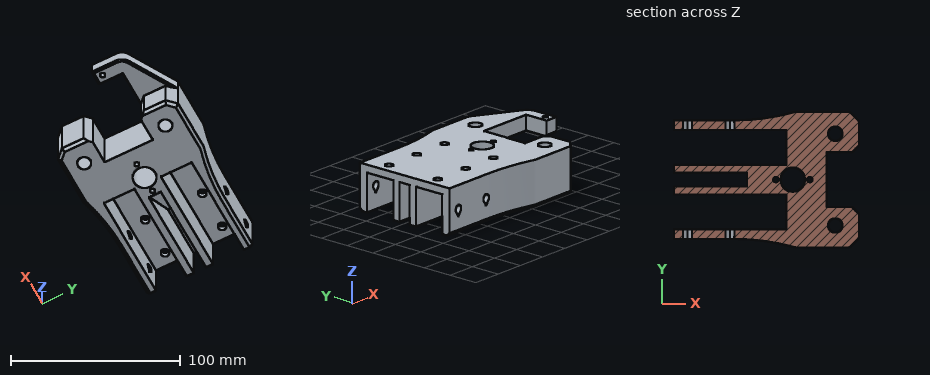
import cadquery as cq
import math

height = 30.0
length = 137.0
body_end_x = 109.0
half_width = 40.0
neck_half_width = 35.0
neck_end_x = 35.4

flare_end_x = 72.0
flare_outer_radius = 5.0

outer_corner_cut = 5.5
body_edge_break = 2.0
hook_edge_break = 1.0

notch_start_x = 90.0
notch_half_width = 16.0
notch_corner_cut = 4.0

hook_height = 10.0
hook_inner_x = 128.0
hook_slope = 30.0
hook_round_radius = 8.0
hook_hole_x = (hook_inner_x + length) / 2
hook_hole_y = 5.0
hook_hole_diameter = 3.0

roof = 5.0
rail_y = 19.0
rail_pocket_width = 20.4
rail_pocket_length = 66.0
slot_width = 8.0
slot_end_x = 57.0
slot_ramp_foot = 1.0

rail_hole_xs = (8.0, 33.0, 58.0)
rail_hole_diameter = 5.0
centre_x = 70.0
centre_hole_diameter = 14.0
centre_screw_offset = 10.0
centre_screw_diameter = 2.8
lobe_hole_x = 95.0
lobe_hole_y = 27.0
lobe_hole_diameter = 8.2

teardrop_xs = rail_hole_xs[:2]
teardrop_z = 15.0
teardrop_diameter = 5.0
teardrop_tip_drop = 4.5


def flared_body():
    """Symmetric block with flared sides, bottom edge chamfered except at the open end."""
    run = flare_end_x - neck_end_x
    rise = half_width - neck_half_width
    radius_sum = (run**2 + rise**2) / (2 * rise)
    turn = math.asin(run / radius_sum)
    inner_radius = radius_sum - flare_outer_radius

    def on_inner_arc(angle):
        x = neck_end_x + inner_radius * math.sin(angle)
        y = neck_half_width + inner_radius * (1 - math.cos(angle))
        return x, y

    def on_outer_arc(angle):
        x = flare_end_x - flare_outer_radius * math.sin(angle)
        y = half_width - flare_outer_radius * (1 - math.cos(angle))
        return x, y

    half = (
        cq.Workplane("XY")
        .moveTo(0, 0)
        .lineTo(0, neck_half_width)
        .lineTo(neck_end_x, neck_half_width)
        .threePointArc(on_inner_arc(turn / 2), on_inner_arc(turn))
        .threePointArc(on_outer_arc(turn / 2), (flare_end_x, half_width))
        .lineTo(body_end_x - outer_corner_cut, half_width)
        .lineTo(body_end_x, half_width - outer_corner_cut)
        .lineTo(body_end_x, 0)
        .close()
        .extrude(height)
    )
    body = half.union(half.mirror("XZ"))
    return body.faces("<Z").edges("not <X").chamfer(body_edge_break)


def notch():
    flare_x = body_end_x - notch_corner_cut
    mouth_half_width = notch_half_width + notch_corner_cut
    return (
        cq.Workplane("XY")
        .polyline([
            (notch_start_x, -notch_half_width),
            (flare_x, -notch_half_width),
            (body_end_x, -mouth_half_width),
            (body_end_x, mouth_half_width),
            (flare_x, notch_half_width),
            (notch_start_x, notch_half_width),
        ])
        .close()
        .extrude(height)
    )


def hook():
    """Thin arm level with the top, reaching around the notch to its tip at Y = 0."""
    slope_start_x = body_end_x - outer_corner_cut
    corner_y = half_width - (length - slope_start_x) * math.tan(math.radians(hook_slope))
    arm = (
        cq.Workplane("XY")
        .workplane(offset=height - hook_height)
        .polyline([
            (notch_start_x, notch_half_width),
            (hook_inner_x, notch_half_width),
            (hook_inner_x, 0),
            (length, 0),
            (length, corner_y),
            (slope_start_x, half_width),
            (notch_start_x, half_width),
        ])
        .close()
        .extrude(hook_height)
    )
    arm = arm.edges("|Z and >X").edges(">Y").fillet(hook_round_radius)
    outer_and_tip_edges = arm.faces("<Z").edges(">X or <Y")
    return outer_and_tip_edges.chamfer(hook_edge_break)


def rail_pocket(y):
    return cq.Workplane("XY").box(
        rail_pocket_length, rail_pocket_width, height - roof, centered=(False, True, False)
    ).translate((0, y, 0))


def centre_slot():
    """Slot whose inner end slopes down at 45 degrees to a short upright foot."""
    ceiling = height - roof
    ramp_run = ceiling - slot_ramp_foot
    return (
        cq.Workplane("XZ")
        .polyline([
            (0, 0),
            (slot_end_x, 0),
            (slot_end_x, slot_ramp_foot),
            (slot_end_x - ramp_run, ceiling),
            (0, ceiling),
        ])
        .close()
        .extrude(slot_width / 2, both=True)
    )


def vertical_holes(points, diameter):
    return cq.Workplane("XY").pushPoints(points).circle(diameter / 2).extrude(height)


def teardrop_hole(x, side):
    """Round hole with flanks tangent to a point at the bottom, from one pocket to the outside."""
    radius = teardrop_diameter / 2
    flank_drop = radius**2 / teardrop_tip_drop
    flank_offset = math.sqrt(radius**2 - flank_drop**2)
    depth_to_outside = half_width - rail_y
    hole = (
        cq.Workplane("XZ")
        .moveTo(x - flank_offset, teardrop_z - flank_drop)
        .threePointArc((x, teardrop_z + radius), (x + flank_offset, teardrop_z - flank_drop))
        .lineTo(x, teardrop_z - teardrop_tip_drop)
        .close()
        .extrude(-side * depth_to_outside)
    )
    return hole.translate((0, side * rail_y, 0))


result = flared_body().cut(notch()).union(hook())

for side in (-1, 1):
    result = result.cut(rail_pocket(side * rail_y))
result = result.cut(centre_slot())

rail_holes = [(x, side * rail_y) for x in rail_hole_xs for side in (-1, 1)]
result = result.cut(vertical_holes(rail_holes, rail_hole_diameter))
result = result.cut(vertical_holes([(centre_x, 0)], centre_hole_diameter))
centre_screws = [(centre_x + side * centre_screw_offset, 0) for side in (-1, 1)]
result = result.cut(vertical_holes(centre_screws, centre_screw_diameter))
lobe_holes = [(lobe_hole_x, side * lobe_hole_y) for side in (-1, 1)]
result = result.cut(vertical_holes(lobe_holes, lobe_hole_diameter))
result = result.cut(vertical_holes([(hook_hole_x, hook_hole_y)], hook_hole_diameter))

for x in teardrop_xs:
    for side in (-1, 1):
        result = result.cut(teardrop_hole(x, side))